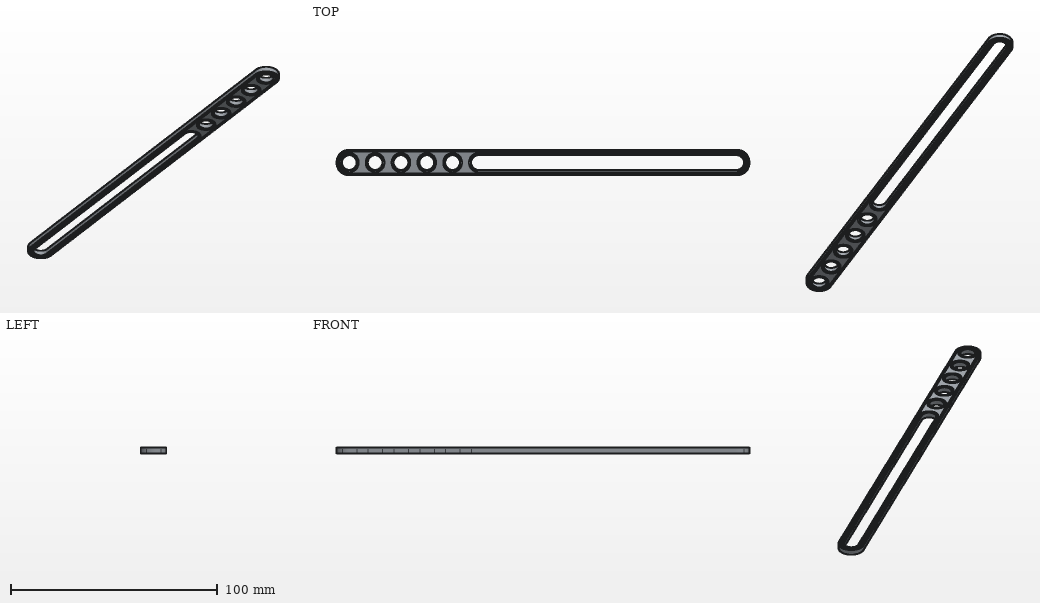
import cadquery as cq

length = 200.0
pitch_count = 16
hole_count = 5
hole_diameter = 7.0
hole_rim_diameter = 9.2
edge_rim_width = 1.05
recess_depth = 0.25
chamfer_size = 0.3

pitch = length / pitch_count
width = pitch
thickness = pitch / 4
straight_length = length - width
top_z = thickness / 2

first_hole_x = -straight_length / 2
hole_centers = [(first_hole_x + i * pitch, 0) for i in range(hole_count)]
slot_start_x = first_hole_x + hole_count * pitch
slot_end_x = straight_length / 2
slot_center_x = (slot_start_x + slot_end_x) / 2
slot_travel = slot_end_x - slot_start_x


def round_ended_bar(end_diameter, center_spacing, center_x, base_z, height):
    """Bar along X with semicircular ends, extruded upwards."""
    return (
        cq.Workplane("XY", origin=(center_x, 0, base_z))
        .slot2D(center_spacing + end_diameter, end_diameter)
        .extrude(height)
    )


def openings(diameter, base_z, height):
    """Solid filling the slot and every hole, all with the same diameter."""
    slot = round_ended_bar(diameter, slot_travel, slot_center_x, base_z, height)
    holes = (
        cq.Workplane("XY", origin=(0, 0, base_z))
        .pushPoints(hole_centers)
        .circle(diameter / 2)
        .extrude(height)
    )
    return slot.union(holes)


def recess(base_z):
    """Shallow recess that leaves a rim along the outline and around each opening."""
    recess_width = width - 2 * edge_rim_width
    area = round_ended_bar(recess_width, straight_length, 0, base_z, recess_depth)
    return area.cut(openings(hole_rim_diameter, base_z, recess_depth))


strip = round_ended_bar(width, straight_length, 0, -top_z, thickness)
strip = strip.cut(openings(hole_diameter, -top_z, thickness))
strip = strip.faces("<Z or >Z").chamfer(chamfer_size)

strip = strip.cut(recess(top_z - recess_depth))
result = strip.cut(recess(-top_z))